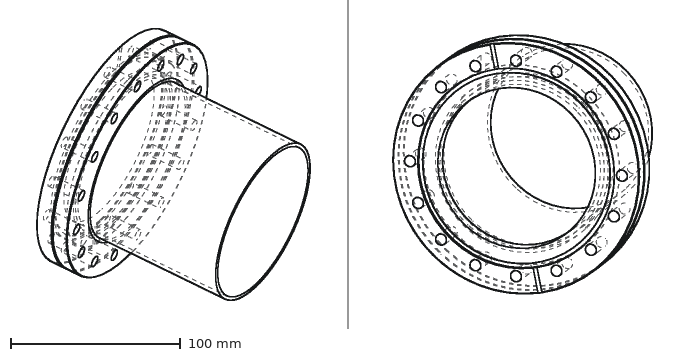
import cadquery as cq
import math

total_length = 109.7

ring_diameter = 151.6
ring_thickness = 21.5
ring_bore_diameter = 106.1
ring_seat_diameter = 120.8
ring_seat_depth = 11.0
ring_chamfer = 0.5
rim_groove_center = 10.99
rim_groove_width = 1.0
rim_groove_depth = 0.3

bolt_count = 16
bolt_hole_diameter = 6.7
bolt_circle_diameter = 130.2
bolt_pitch_angle = 360.0 / bolt_count

leak_groove_count = 2
leak_groove_pitch_angle = 360.0 / leak_groove_count
leak_groove_radius = 1.5
leak_groove_depth = 0.6
leak_groove_angle = -bolt_pitch_angle / 2

insert_diameter = 120.4
insert_bore_diameter = 96.9
insert_face_x = 1.2
knife_diameter = 115.2
knife_tip_x = 0.6
knife_flank_angle = 20.0
knife_flank_width = (insert_diameter - knife_diameter) / 2
insert_rim_x = knife_tip_x + knife_flank_width * math.tan(math.radians(knife_flank_angle))
socket_diameter = 101.9

tube_diameter = 101.5
tube_bore_diameter = 97.0
tube_start_x = ring_seat_depth


def hollow_cylinder(start_x, end_x, outer_diameter, inner_diameter):
    """Plain hollow cylinder along X."""
    return (
        cq.Workplane("YZ", origin=(start_x, 0, 0))
        .circle(outer_diameter / 2)
        .circle(inner_diameter / 2)
        .extrude(end_x - start_x)
    )


def rim_groove_cutter():
    """Shallow square groove around the rim of the ring."""
    return hollow_cylinder(
        rim_groove_center - rim_groove_width / 2,
        rim_groove_center + rim_groove_width / 2,
        ring_diameter,
        ring_diameter - 2 * rim_groove_depth,
    )


def bolt_hole_cutter():
    """Evenly spaced through holes on the bolt circle, the first one on the Y axis."""
    return (
        cq.Workplane("YZ")
        .polarArray(bolt_circle_diameter / 2, 0, 360, bolt_count)
        .circle(bolt_hole_diameter / 2)
        .extrude(ring_thickness)
    )


def leak_groove_cutter(index):
    """Radial rod that dips into the sealing face by the groove depth."""
    rod_axis_x = leak_groove_depth - leak_groove_radius
    rod = (
        cq.Workplane("XY", origin=(rod_axis_x, 0, ring_bore_diameter / 2))
        .circle(leak_groove_radius)
        .extrude(ring_diameter / 2)
    )
    angle = leak_groove_angle + index * leak_groove_pitch_angle
    return rod.rotate((0, 0, 0), (1, 0, 0), angle)


def make_bolt_ring():
    """Outer ring with a stepped bore, bolt holes, a rim groove and leak-check grooves."""
    ring = (
        cq.Workplane("YZ")
        .circle(ring_diameter / 2)
        .extrude(ring_thickness)
        .edges()
        .chamfer(ring_chamfer)
        .faces("<X")
        .workplane()
        .cboreHole(ring_bore_diameter, ring_seat_diameter, ring_seat_depth)
    )
    ring = ring.cut(rim_groove_cutter())
    ring = ring.cut(bolt_hole_cutter())
    for index in range(leak_groove_count):
        ring = ring.cut(leak_groove_cutter(index))
    return ring


def make_insert():
    """Stepped insert with a raised knife edge, a bore and a socket for the tube."""
    half_section = [
        (insert_face_x, insert_bore_diameter / 2),
        (insert_face_x, knife_diameter / 2),
        (knife_tip_x, knife_diameter / 2),
        (insert_rim_x, insert_diameter / 2),
        (ring_seat_depth, insert_diameter / 2),
        (ring_seat_depth, ring_bore_diameter / 2),
        (ring_thickness, ring_bore_diameter / 2),
        (ring_thickness, socket_diameter / 2),
        (tube_start_x, socket_diameter / 2),
        (tube_start_x, insert_bore_diameter / 2),
    ]
    return (
        cq.Workplane("XY")
        .polyline(half_section)
        .close()
        .revolve(360, (0, 0, 0), (1, 0, 0))
    )


def make_tube():
    """Plain tube running from the socket floor to the far end."""
    return hollow_cylinder(tube_start_x, total_length, tube_diameter, tube_bore_diameter)


bolt_ring = make_bolt_ring()
insert = make_insert()
tube = make_tube()

result = cq.Compound.makeCompound([bolt_ring.solids().val(), insert.val(), tube.val()])